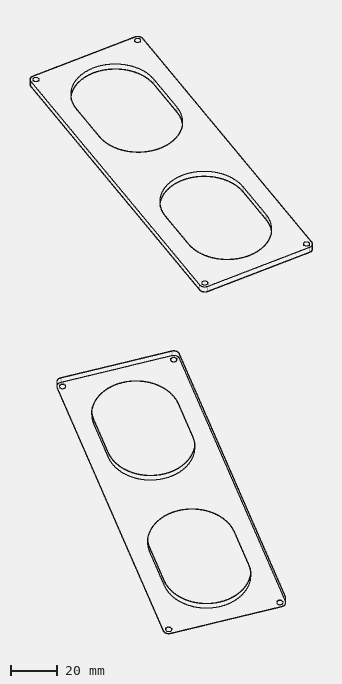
import cadquery as cq

length = 152.0
width = 55.0
thickness = 3.0
corner_radius = 2.5

screw_hole_diameter = 2.6
screw_spacing_x = length - 2 * corner_radius
screw_spacing_y = width - 2 * corner_radius

window_length = 58.0
window_width = 38.0
window_spacing = 77.5


def make_plate():
    """Flat plate with rounded vertical corners, resting on Z = 0."""
    plate = cq.Workplane("XY").box(length, width, thickness, centered=(True, True, False))
    return plate.edges("|Z").fillet(corner_radius)


def cut_windows(plate):
    """Cut the two through windows, symmetric about the plate centre."""
    return (
        plate.faces(">Z")
        .workplane(origin=(0, 0, thickness))
        .rarray(window_spacing, 1, 2, 1)
        .slot2D(window_length, window_width)
        .cutThruAll()
    )


def drill_screw_holes(plate):
    """Drill one through hole at each corner."""
    return (
        plate.faces(">Z")
        .workplane(origin=(0, 0, thickness))
        .rarray(screw_spacing_x, screw_spacing_y, 2, 2)
        .hole(screw_hole_diameter)
    )


result = drill_screw_holes(cut_windows(make_plate()))